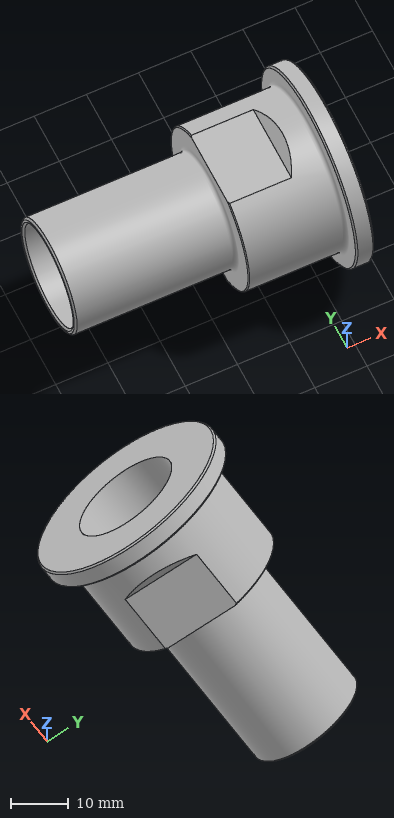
import cadquery as cq

total_length = 53.5
body_start = 31.05
flange_thickness = 3.55
flange_start = total_length - flange_thickness

bore_diameter = 19.6
tube_diameter = 22.0
body_diameter = 31.0
flange_diameter = 38.0

corner_fillet = 0.8
tube_chamfer = 0.4
bore_chamfer = 0.4
flange_chamfer = 0.3
body_chamfer = 0.2

across_flats = 27.0
flat_end = 43.05


def section(start, end, diameter):
    """Solid cylinder along X between two axial stations."""
    return cq.Workplane("YZ", origin=(start, 0, 0)).circle(diameter / 2).extrude(end - start)


def turned_blank():
    """Stepped tube, body and flange with broken edges and filleted inner corners."""
    tube = section(0, body_start, tube_diameter).faces("<X").chamfer(tube_chamfer)
    body = section(body_start, flange_start, body_diameter).faces("<X").chamfer(body_chamfer)
    flange = section(flange_start, total_length, flange_diameter).edges().chamfer(flange_chamfer)
    blank = tube.union(body).union(flange)
    for station, diameter in ((body_start, tube_diameter), (flange_start, body_diameter)):
        corner = cq.selectors.RadiusNthSelector(0)
        half_window = 0.005
        window = cq.selectors.BoxSelector(
            (station - half_window, -diameter, -diameter),
            (station + half_window, diameter, diameter),
            boundingbox=True,
        )
        blank = blank.edges(window).edges(corner).fillet(corner_fillet)
    return blank


def flat_cutter():
    """Cutter above the upper flat, with a run-out ramp rising at 45 degrees."""
    flat_height = across_flats / 2
    cut_top = flange_diameter / 2
    ramp_length = cut_top - flat_height
    return (
        cq.Workplane("XZ")
        .moveTo(body_start, flat_height)
        .lineTo(flat_end, flat_height)
        .lineTo(flat_end + ramp_length, cut_top)
        .lineTo(body_start, cut_top)
        .close()
        .extrude(body_diameter / 2, both=True)
    )


upper_cutter = flat_cutter()
lower_cutter = upper_cutter.mirror("XY")
bore = section(0, total_length, bore_diameter)

result = turned_blank().cut(upper_cutter).cut(lower_cutter).cut(bore)
bore_mouth = cq.selectors.RadiusNthSelector(0)
result = result.faces("<X").edges(bore_mouth).chamfer(bore_chamfer)